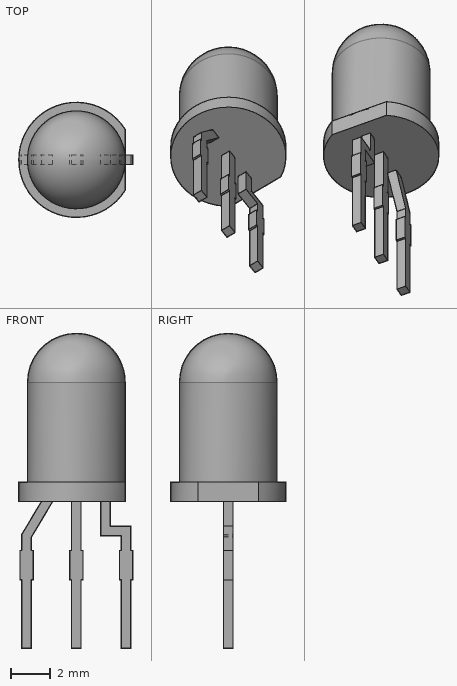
import cadquery as cq
import math

total_height = 16.1
lens_diameter = 5.0
lens_radius = lens_diameter / 2
flange_diameter = 5.9
flange_thickness = 1.0
flange_bottom = 7.5

lead_width = 0.5
lead_pitch = 2.55
crimp_width = 0.7
crimp_bottom = 3.5
crimp_top = 5.0
bend_height = 5.75
step_bottom = bend_height
entry_offset = 1.5
half_lead = lead_width / 2


def lead_plate(outline):
    """Extrude an XZ outline to the lead thickness, centred on Y."""
    return cq.Workplane("XZ").polyline(outline).close().extrude(half_lead, both=True)


def upright(x, width, bottom, top):
    """A vertical stretch of lead centred at x."""
    return (
        cq.Workplane("XY", origin=(x, 0, bottom))
        .rect(width, lead_width)
        .extrude(top - bottom)
    )


def make_lens():
    """Cylinder capped by a hemisphere of the same radius."""
    dome_base = total_height - lens_radius
    quarter_turn = lens_radius * math.sqrt(0.5)
    return (
        cq.Workplane("XZ")
        .moveTo(0, flange_bottom)
        .lineTo(lens_radius, flange_bottom)
        .lineTo(lens_radius, dome_base)
        .threePointArc((quarter_turn, dome_base + quarter_turn), (0, total_height))
        .close()
        .revolve(360, (0, 0), (0, 1))
    )


def make_flange():
    """Disc with one flat on +X, tangent to the lens."""
    flange_radius = flange_diameter / 2
    flat_half_length = math.sqrt(flange_radius**2 - lens_radius**2)
    return (
        cq.Workplane("XY", origin=(0, 0, flange_bottom))
        .moveTo(lens_radius, flat_half_length)
        .threePointArc((-flange_radius, 0), (lens_radius, -flat_half_length))
        .close()
        .extrude(flange_thickness)
    )


def make_sloped_lead():
    """Upper part of the -X lead: it leans in toward the axis at constant width."""
    run = lead_pitch - entry_offset
    slope_angle = math.atan2(run, flange_bottom - bend_height)
    half_span = half_lead / math.cos(slope_angle)
    miter_rise = half_lead * math.tan(slope_angle / 2)
    outer_x = -lead_pitch - half_lead
    inner_x = -lead_pitch + half_lead
    return lead_plate([
        (outer_x, crimp_top),
        (inner_x, crimp_top),
        (inner_x, bend_height - miter_rise),
        (-entry_offset + half_span, flange_bottom),
        (-entry_offset - half_span, flange_bottom),
        (outer_x, bend_height + miter_rise),
    ])


def make_stepped_lead():
    """Upper part of the +X lead: it jogs in toward the axis with square corners."""
    step_top = step_bottom + lead_width
    upper_inner = entry_offset - half_lead
    upper_outer = entry_offset + half_lead
    lower_inner = lead_pitch - half_lead
    lower_outer = lead_pitch + half_lead
    return lead_plate([
        (lower_inner, crimp_top),
        (lower_outer, crimp_top),
        (lower_outer, step_top),
        (upper_outer, step_top),
        (upper_outer, flange_bottom),
        (upper_inner, flange_bottom),
        (upper_inner, step_bottom),
        (lower_inner, step_bottom),
    ])


result = make_lens().union(make_flange())

for lead_x in (-lead_pitch, 0, lead_pitch):
    result = result.union(upright(lead_x, lead_width, 0, crimp_top))
    result = result.union(upright(lead_x, crimp_width, crimp_bottom, crimp_top))

result = result.union(make_sloped_lead())
result = result.union(upright(0, lead_width, crimp_top, flange_bottom))
result = result.union(make_stepped_lead())